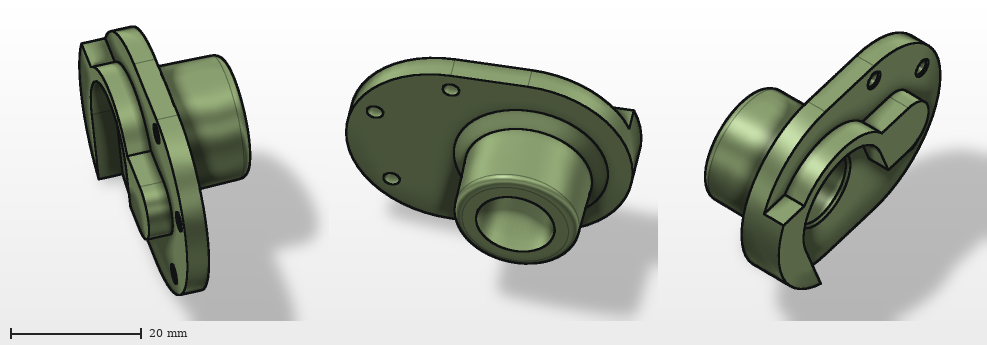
import cadquery as cq
import math

overall_length = 44.6
plate_height = 32.6
plate_thickness = 3.5
plate_end_radius = plate_height / 2
plate_center_x = 6.45
plate_center_z = 1.15

overall_depth = 20.0
rim_height = 3.8
boss_height = overall_depth - rim_height
cone_height = 2.0
cone_base_radius = 12.0
boss_base_radius = 9.9
boss_end_radius = 9.7
boss_end_fillet = 1.43

bore_diameter = 12.2
bore_chamfer = 0.5
screw_hole_diameter = 2.55
screw_hole_chamfer = 0.25
screw_hole_points = [(12.45, 14.23), (24.25, 6.75), (21.68, -8.0)]

rim_outer_radius = cone_base_radius
rim_inner_radius = 9.72
rim_top_z = 7.25
tab_radius = 4.9
tab_center_x = 16.15
channel_angle = math.radians(19)


def front_plane(y=0.0):
    """Sketch plane with local axes X and Z; extrusion runs toward -Y."""
    return cq.Workplane("XZ", origin=(0, y, 0))


def plate_outline(y=0.0):
    """Slot-shaped flange outline."""
    return front_plane(y).center(plate_center_x, plate_center_z).slot2D(overall_length, plate_height)


def make_boss():
    """Conical foot and slightly tapered boss with a rounded end."""
    cone = (
        front_plane(plate_thickness)
        .circle(cone_base_radius)
        .workplane(offset=-cone_height)
        .circle(boss_base_radius)
        .loft()
    )
    barrel = (
        front_plane(plate_thickness + cone_height)
        .circle(boss_base_radius)
        .workplane(offset=plate_thickness + cone_height - boss_height)
        .circle(boss_end_radius)
        .loft()
        .faces(">Y")
        .edges()
        .fillet(boss_end_fillet)
    )
    return cone.union(barrel)


def make_rim():
    """Left part of the plate outline, arched over the bore and ending in a round tab."""
    tab_bottom_z = rim_top_z - 2 * tab_radius
    tab_center_z = rim_top_z - tab_radius
    shoulder_x = math.sqrt(rim_outer_radius**2 - rim_top_z**2)
    plate_left_x = plate_center_x - overall_length / 2
    plate_bottom_z = plate_center_z - plate_end_radius

    tangent_x = rim_inner_radius * math.cos(channel_angle)
    tangent_z = rim_inner_radius * math.sin(channel_angle)

    def wall_x(start_x, start_z, z):
        return start_x + (start_z - z) * math.tan(channel_angle)

    outline = (
        front_plane()
        .moveTo(plate_left_x, rim_top_z)
        .lineTo(-shoulder_x, rim_top_z)
        .threePointArc((0, rim_outer_radius), (shoulder_x, rim_top_z))
        .lineTo(tab_center_x, rim_top_z)
        .threePointArc((tab_center_x + tab_radius, tab_center_z), (tab_center_x, tab_bottom_z))
        .lineTo(wall_x(tangent_x, tangent_z, tab_bottom_z), tab_bottom_z)
        .lineTo(tangent_x, tangent_z)
        .threePointArc((0, rim_inner_radius), (-tangent_x, -tangent_z))
        .lineTo(wall_x(-tangent_x, -tangent_z, plate_bottom_z), plate_bottom_z)
        .lineTo(plate_left_x, plate_bottom_z)
        .close()
        .extrude(rim_height)
    )
    return outline.intersect(plate_outline().extrude(rim_height))


def hole_cutter(x, z, diameter, chamfer, depth):
    """Straight hole from the plate front with a 45 degree mouth chamfer."""
    radius = diameter / 2
    profile = (
        cq.Workplane("XY")
        .moveTo(0, 0)
        .lineTo(radius + chamfer, 0)
        .lineTo(radius, chamfer)
        .lineTo(radius, depth)
        .lineTo(0, depth)
        .close()
    )
    return profile.revolve(360, (0, 0), (0, 1)).translate((x, 0, z))


plate = plate_outline(plate_thickness).extrude(plate_thickness)
result = plate.union(make_boss()).union(make_rim())
result = result.cut(hole_cutter(0, 0, bore_diameter, bore_chamfer, boss_height))
for hole_x, hole_z in screw_hole_points:
    cutter = hole_cutter(hole_x, hole_z, screw_hole_diameter, screw_hole_chamfer, plate_thickness)
    result = result.cut(cutter)